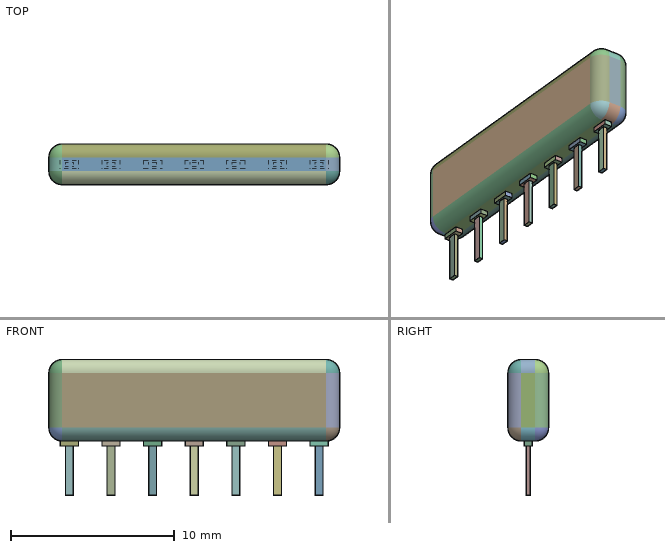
import cadquery as cq

body_length = 17.78
body_thickness = 2.5
total_height = 8.3

body_height = 5.0
edge_radius = body_thickness / 3

lead_count = 7
lead_pitch = 2.55
lead_width = 0.5
lead_thickness = 0.25
shoulder_width = 1.12
shoulder_thickness = 0.5
shoulder_height = 0.3

root_depth = body_height / 4
lead_length = total_height - body_height


def make_body():
    """Rounded block standing on the plane Z = 0."""
    block = cq.Workplane("XY").box(
        body_length, body_thickness, body_height, centered=(True, True, False)
    )
    return block.edges().fillet(edge_radius)


def make_bars(width, thickness, drop):
    """Row of rectangular bars from inside the body down to Z = -drop."""
    return (
        cq.Workplane("XY")
        .workplane(offset=-drop)
        .rarray(lead_pitch, 0.18, lead_count, 1)
        .rect(width, thickness)
        .extrude(drop + root_depth)
    )


shoulders = make_bars(shoulder_width, shoulder_thickness, shoulder_height)
leads = make_bars(lead_width, lead_thickness, lead_length)

result = make_body().union(shoulders).union(leads)